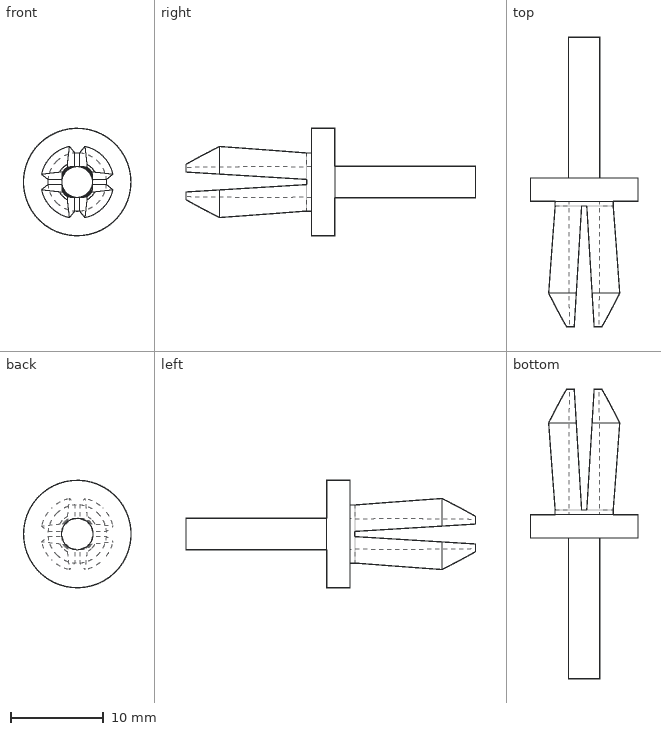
import cadquery as cq

total_length = 31.2
flange_thickness = 2.53
collar_length = 0.5
shank_length = 9.4
tip_length = 3.62

pin_radius = 3.4 / 2
flange_radius = 11.6 / 2
collar_radius = 6.3 / 2
shoulder_radius = 3.93
tip_radius = 2.18
bore_root_radius = 1.65
bore_tip_radius = 1.9

slot_root_width = 0.53
slot_tip_width = 2.12

tip_y = 0.0
shoulder_y = tip_y + tip_length
slot_root_y = shoulder_y + shank_length
flange_front_y = slot_root_y + collar_length
flange_back_y = flange_front_y + flange_thickness


def make_body():
    """Revolve the pin, flange, collar and pointed shank about Y."""
    profile = [
        (0, tip_y),
        (tip_radius, tip_y),
        (shoulder_radius, shoulder_y),
        (collar_radius, slot_root_y),
        (collar_radius, flange_front_y),
        (flange_radius, flange_front_y),
        (flange_radius, flange_back_y),
        (pin_radius, flange_back_y),
        (pin_radius, total_length),
        (0, total_length),
    ]
    return cq.Workplane("XY").polyline(profile).close().revolve(360, (0, 0), (0, 1))


def make_bore():
    """Blind bore: flared between the fingers, straight inside the collar."""
    profile = [
        (0, tip_y),
        (bore_tip_radius, tip_y),
        (bore_root_radius, slot_root_y),
        (bore_root_radius, flange_front_y),
        (0, flange_front_y),
    ]
    return cq.Workplane("XY").polyline(profile).close().revolve(360, (0, 0), (0, 1))


def make_slot(angle):
    """Slot through the whole shank, widening toward the tips, turned about Y."""
    outline = [
        (-slot_tip_width / 2, tip_y),
        (slot_tip_width / 2, tip_y),
        (slot_root_width / 2, slot_root_y),
        (-slot_root_width / 2, slot_root_y),
    ]
    slot = cq.Workplane("XY").polyline(outline).close().extrude(flange_radius, both=True)
    return slot.rotate((0, 0, 0), (0, 1, 0), angle)


result = make_body().cut(make_bore())
for slot_angle in (0, 90):
    result = result.cut(make_slot(slot_angle))